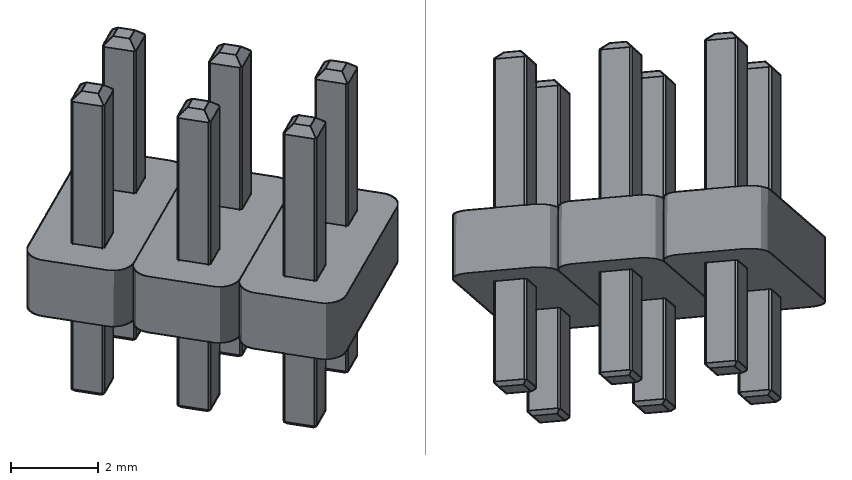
import cadquery as cq


columns = 3
rows = 2
housing_depth = 5.08
pitch = housing_depth / rows

block_height = 1.5
corner_radius = 0.5

pin_length = 8.0
pin_width = 0.8
tail_length = 2.5
pin_offset = 0.03
edge_chamfer = 0.05
tip_chamfer = 0.2
tail_chamfer = tip_chamfer / 2

pin_bottom = -tail_length
pin_top = pin_bottom + pin_length


def centred_positions(count):
    """Positions of `count` items one pitch apart, centred on zero."""
    return [(i - (count - 1) / 2) * pitch for i in range(count)]


column_positions = centred_positions(columns)
row_positions = centred_positions(rows)


def make_block(x):
    """One housing block with rounded corners and a fitted hole for each pin."""
    block = (
        cq.Workplane("XY")
        .center(x, 0)
        .rect(pitch, housing_depth)
        .extrude(block_height)
        .edges("|Z")
        .fillet(corner_radius)
    )
    for y in row_positions:
        block = block.cut(make_pin(x, y))
    return block


def make_tapered_bar():
    """Square bar with all four sides sloping in at both ends."""
    tip_width = pin_width - 2 * tip_chamfer
    tail_width = pin_width - 2 * tail_chamfer
    shank_bottom = pin_bottom + tail_chamfer
    shank_top = pin_top - tip_chamfer
    shank = (
        cq.Workplane("XY", origin=(0, 0, shank_bottom))
        .rect(pin_width, pin_width)
        .extrude(shank_top - shank_bottom)
    )
    tip = (
        cq.Workplane("XY", origin=(0, 0, shank_top))
        .rect(pin_width, pin_width)
        .workplane(offset=tip_chamfer)
        .rect(tip_width, tip_width)
        .loft(ruled=True)
    )
    tail = (
        cq.Workplane("XY", origin=(0, 0, pin_bottom))
        .rect(tail_width, tail_width)
        .workplane(offset=tail_chamfer)
        .rect(pin_width, pin_width)
        .loft(ruled=True)
    )
    return shank.union(tip).union(tail)


def make_pin(x, y):
    """One square pin with bevelled long edges and tapered ends, set slightly off its cell centre."""
    bevelled_bar = (
        cq.Workplane("XY", origin=(0, 0, pin_bottom))
        .rect(pin_width, pin_width)
        .extrude(pin_length)
        .edges("|Z")
        .chamfer(edge_chamfer)
    )
    return bevelled_bar.intersect(make_tapered_bar()).translate(
        (x + pin_offset, y + pin_offset, 0)
    )


blocks = [make_block(x) for x in column_positions]
pins = [make_pin(x, y) for x in column_positions for y in row_positions]

result = cq.Compound.makeCompound([body.solids().val() for body in blocks + pins])